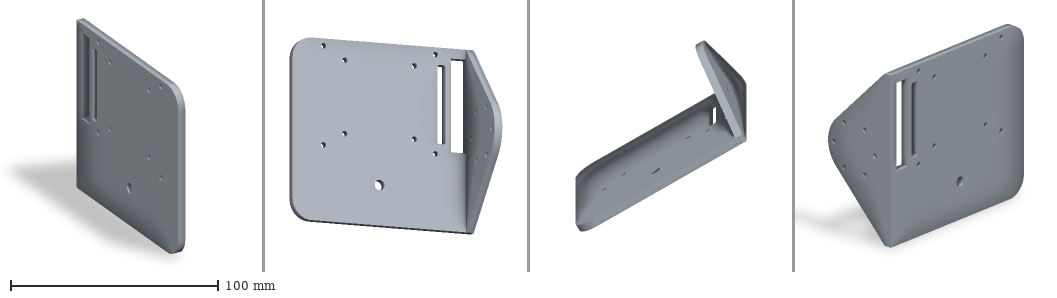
import cadquery as cq
import math

WIDTH = 94.0
HEIGHT = 90.0
DEPTH = 41.5
THICKNESS = 4.0
CORNER_RADIUS = 10.0
MID_HEIGHT = HEIGHT / 2

NOSE_RADIUS = 17.5
NOSE_CENTER_Y = DEPTH - NOSE_RADIUS
BOLT_CIRCLE_RADIUS = 13.5
BOLT_COUNT = 6

SCREW_DIAMETER = 2.6
PATTERN_X = 48.9
PATTERN_Z = 61.9
OUTER_PATTERN_SIZE = (58.1, 48.9)
INNER_PATTERN_SIZE = (36.1, 36.1)
LARGE_HOLE_DIAMETER = 5.1
LARGE_HOLE_Z = 19.9
WIDE_SLOT_SIZE = (7.9, 46.2)
WIDE_SLOT_RADIUS = 0.5
NARROW_SLOT_SIZE = (4.0, 38.9)
NARROW_SLOT_X = 16.8
NARROW_SLOT_RADIUS = 0.9


def face_prism(sketch):
    """Extrude a sketch drawn in X and Z through the plate thickness."""
    return cq.Workplane("XZ").placeSketch(sketch).extrude(-THICKNESS)


def make_face_plate():
    plate = cq.Workplane("XY").box(WIDTH, THICKNESS, HEIGHT, centered=False)
    return plate.edges("|Y and >X").fillet(CORNER_RADIUS)


def make_side_wall():
    """Triangular wall whose sloped edges run tangent into a round nose."""
    run = NOSE_CENTER_Y - THICKNESS
    slope_angle = math.atan2(MID_HEIGHT, run) - math.asin(NOSE_RADIUS / math.hypot(run, MID_HEIGHT))
    tangent_y = NOSE_CENTER_Y + NOSE_RADIUS * math.sin(slope_angle)
    tangent_rise = NOSE_RADIUS * math.cos(slope_angle)
    return (
        cq.Workplane("YZ")
        .moveTo(0, 0)
        .lineTo(THICKNESS, 0)
        .lineTo(tangent_y, MID_HEIGHT - tangent_rise)
        .threePointArc((DEPTH, MID_HEIGHT), (tangent_y, MID_HEIGHT + tangent_rise))
        .lineTo(THICKNESS, HEIGHT)
        .lineTo(0, HEIGHT)
        .close()
        .extrude(THICKNESS)
    )


def make_face_holes():
    screws = cq.Sketch()
    for size_x, size_z in (OUTER_PATTERN_SIZE, INNER_PATTERN_SIZE):
        corners = [
            (PATTERN_X + side * size_x / 2, PATTERN_Z + level * size_z / 2)
            for side in (-1, 1)
            for level in (-1, 1)
        ]
        screws = screws.reset().push(corners).circle(SCREW_DIAMETER / 2)
    large_hole = cq.Sketch().push([(PATTERN_X, LARGE_HOLE_Z)]).circle(LARGE_HOLE_DIAMETER / 2)
    return face_prism(screws).union(face_prism(large_hole))


def make_slot(center_x, size):
    sketch = cq.Sketch().push([(center_x, PATTERN_Z)]).rect(*size)
    return face_prism(sketch)


def make_bolt_circle():
    return (
        cq.Workplane("YZ")
        .center(NOSE_CENTER_Y, MID_HEIGHT)
        .polarArray(BOLT_CIRCLE_RADIUS, 0, 360, BOLT_COUNT)
        .circle(SCREW_DIAMETER / 2)
        .extrude(THICKNESS)
    )


wide_slot = make_slot(THICKNESS + WIDE_SLOT_SIZE[0] / 2, WIDE_SLOT_SIZE)
wide_slot = wide_slot.edges("|Y and >X").fillet(WIDE_SLOT_RADIUS)
narrow_slot = make_slot(NARROW_SLOT_X, NARROW_SLOT_SIZE).edges("|Y").fillet(NARROW_SLOT_RADIUS)

result = make_face_plate().union(make_side_wall())
for cutter in (make_face_holes(), wide_slot, narrow_slot, make_bolt_circle()):
    result = result.cut(cutter)